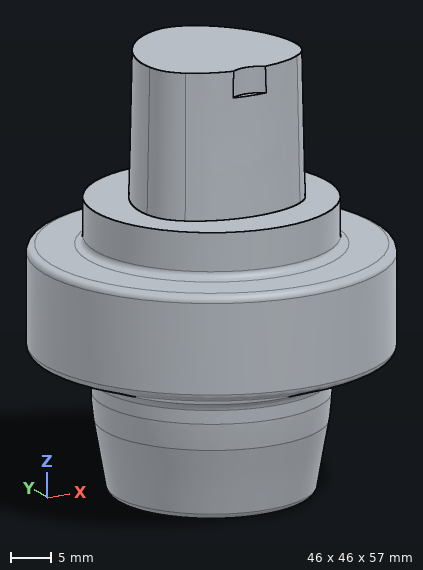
import cadquery as cq
import math

total_height = 57.0
collar_top = 38.0
rim_top = 32.0
rim_corner = 18.4
taper_start = 13.0

rim_diameter = 46.0
collar_diameter = 32.0
neck_diameter = 30.0
rim_radius = rim_diameter / 2
collar_radius = collar_diameter / 2
neck_radius = neck_diameter / 2
edge_radius = 1.0
cone_slope = math.radians(20)
nose_taper = math.radians(10)
taper_blend_radius = 19.95

lobe_count = 3
base_mean_radius = 10.95
top_mean_radius = 10.55
lobe_height = 0.7
lobe_half_angle = 24
points_per_face = 7

notch_radius = 3.75
notch_back = 8.95
notch_depth = 3.4


def round_corner(body, height, size):
    """Fillet the smallest or largest circular edge lying at the given height."""
    tolerance = 0.05
    circles_at_height = cq.selectors.BoxSelector(
        (-tolerance, -tolerance, height - tolerance),
        (tolerance, tolerance, height + tolerance),
    )
    position = 0 if size == "smallest" else -1
    circle = cq.selectors.RadiusNthSelector(position)
    return body.edges("%CIRCLE").edges(circles_at_height).edges(circle).fillet(edge_radius)


def make_body():
    """Revolve the nose, neck, cone, rim and collar."""
    cone_bottom = rim_corner - (rim_radius - neck_radius) * math.tan(cone_slope)
    blend_center_x = neck_radius - taper_blend_radius

    def blend_point(angle):
        return (
            blend_center_x + taper_blend_radius * math.cos(angle),
            taper_start - taper_blend_radius * math.sin(angle),
        )

    blend_end = blend_point(nose_taper)
    nose_radius = blend_end[0] - blend_end[1] * math.tan(nose_taper)

    body = (
        cq.Workplane("XZ")
        .moveTo(0, 0)
        .lineTo(nose_radius, 0)
        .lineTo(*blend_end)
        .threePointArc(blend_point(nose_taper / 2), (neck_radius, taper_start))
        .lineTo(neck_radius, cone_bottom)
        .lineTo(rim_radius, rim_corner)
        .lineTo(rim_radius, rim_top)
        .lineTo(collar_radius, rim_top)
        .lineTo(collar_radius, collar_top)
        .lineTo(0, collar_top)
        .close()
        .revolve(360, (0, 0, 0), (0, 1, 0))
    )
    body = round_corner(body, rim_top, "smallest")
    for height in (0, cone_bottom, rim_corner, rim_top):
        body = round_corner(body, height, "largest")
    return body


def lobe_point(mean_radius, degrees):
    """Point of the three-lobed curve whose outward normal has the given direction."""
    direction = math.radians(degrees)
    phase = lobe_count * (direction - math.pi / 2)
    rise = lobe_height * math.cos(phase)
    slope = -lobe_count * lobe_height * math.sin(phase)
    reach = mean_radius + rise
    return (
        reach * math.cos(direction) - slope * math.sin(direction),
        reach * math.sin(direction) + slope * math.cos(direction),
    )


def lobed_wire(mean_radius, height):
    """Closed outline of alternating lobes and flats, one lobe pointing to +Y."""
    edges = []
    lobe_spacing = 360 / lobe_count
    for lobe in range(lobe_count):
        lobe_direction = 90 + lobe * lobe_spacing
        lobe_start = lobe_direction - lobe_half_angle
        lobe_end = lobe_direction + lobe_half_angle
        for start, end in ((lobe_start, lobe_end), (lobe_end, lobe_start + lobe_spacing)):
            step = (end - start) / (points_per_face - 1)
            points = [
                cq.Vector(*lobe_point(mean_radius, start + i * step), height)
                for i in range(points_per_face)
            ]
            edges.append(cq.Edge.makeSpline(points))
    return cq.Wire.assembleEdges(edges)


def make_shank():
    base = lobed_wire(base_mean_radius, collar_top)
    top = lobed_wire(top_mean_radius, total_height)
    return cq.Workplane(obj=cq.Solid.makeLoft([base, top], True))


def make_notch():
    return (
        cq.Workplane("XY", origin=(0, -notch_back - notch_radius, total_height - notch_depth))
        .circle(notch_radius)
        .extrude(notch_depth)
    )


result = make_body().union(make_shank()).cut(make_notch())